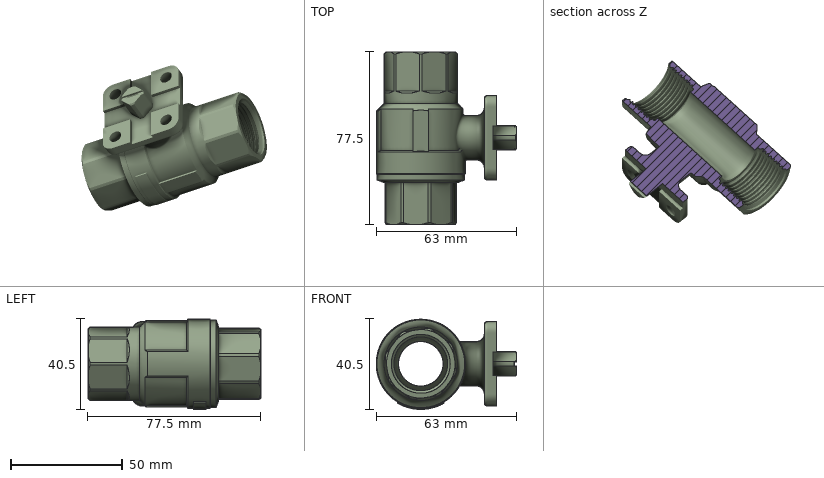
import cadquery as cq
import math


FRONT_END = -39.0
BACK_END = 38.5
CAP_CONE_START = -18.9
CAP_CONE_END = -20.1
CAP_JOINT = -16.4
RING_BACK = -6.3
NECK_SHOULDER = 15.4
BACK_FLATS_END = 21.0

BODY_R = 20.0
RING_EDGE_CHAMFER = 0.3
CAP_R = BODY_R - RING_EDGE_CHAMFER
CAP_CONE_R = 16.5
BORE_R = 10.0

OCTAGON_SIDES = 8
OCTAGON_STEP = 360.0 / OCTAGON_SIDES
FRONT_CORNER_R = 16.3
FRONT_FLAT_DISTANCE = 15.3
FRONT_CORNER_ANGLE = 76.0
BACK_CORNER_R = 16.5
BACK_FLAT_DISTANCE = 15.48
BACK_CORNER_ANGLE = 90.0
FLAT_RUNOUT_TAPER = -45.0
END_CHAMFER = 0.9

PANEL_R = 19.0
PANEL_WALL_RUN = 0.6
TOP_STRIP_HALF_WIDTH = 3.5
TOP_STRIP_HEIGHT = 19.5
SIDE_STRIP_HALF_WIDTH = 5.0
SIDE_STRIP_FLARE_ANGLE = 30.0

PAD_HEIGHT = 0.5
PAD_HALF_WIDTH = 10.5
PAD_LENGTH = 5.4
PAD_CENTER_Y = -11.6

THREAD_MINOR_R = 12.06
THREAD_MAJOR_R = 13.22
THREAD_PITCH = 1.814
THREAD_RINGS = 8
THREAD_FLAT = THREAD_PITCH / 6
THREAD_RELIEF = 1.0
THREAD_ENTRY = 0.9

NECK_R = 10.0
NECK_ROOT_R = 0.8
NECK_BLEND_R = 3.5
FLANGE_BACK = 28.5
FLANGE_FACE = 34.0
FLANGE_WIDTH = 38.0
FLANGE_CORNER_R = 5.0
FLANGE_EDGE_R = 1.5
FLANGE_HOLE_D = 5.8
FLANGE_BOLT_CIRCLE_D = 36.0
CHANNEL_DEPTH = 1.65
CHANNEL_WIDTH = 10.5

STEM_END = 43.0
STEM_SQUARE = 9.0
STEM_CORNER_R = 5.5
STEM_TIP_CHAMFER = 0.6
STEM_SLOT_WIDTH = 1.8
STEM_SLOT_DEPTH = 1.0


def revolve_about_flow_axis(points):
    """Revolve a closed (radius, y) outline about the Y axis."""
    return cq.Workplane("XY").polyline(points).close().revolve(360, (0, 0, 0), (0, 1, 0))


def cylinder_along_y(radius, y_start, y_end):
    profile = [(0, y_start), (radius, y_start), (radius, y_end), (0, y_end)]
    return revolve_about_flow_axis(profile)


def cylinder_along_x(radius, x_start, x_end):
    return cq.Workplane("YZ").workplane(offset=x_start).circle(radius).extrude(x_end - x_start)


def box_between(x_range, y_range, z_range):
    size = [end - start for start, end in (x_range, y_range, z_range)]
    corner = (x_range[0], y_range[0], z_range[0])
    return cq.Workplane("XY").box(*size, centered=False).translate(corner)


def octagon_prism(flat_distance, corner_angle, y_start, y_end, taper=0):
    """Octagonal prism along Y; the corner angle is measured from +X towards +Z."""
    corner_distance = flat_distance / math.cos(math.radians(OCTAGON_STEP / 2))
    angles = [math.radians(corner_angle + i * OCTAGON_STEP) for i in range(OCTAGON_SIDES)]
    corners = [(corner_distance * math.cos(a), corner_distance * math.sin(a)) for a in angles]
    section = cq.Workplane("XZ", origin=(0, y_start, 0)).polyline(corners).close()
    return section.extrude(y_start - y_end, taper=taper)


def front_octagon():
    blank = revolve_about_flow_axis([
        (0, FRONT_END),
        (FRONT_CORNER_R - END_CHAMFER, FRONT_END),
        (FRONT_CORNER_R, FRONT_END + END_CHAMFER),
        (FRONT_CORNER_R, CAP_JOINT),
        (0, CAP_JOINT),
    ])
    prism = octagon_prism(FRONT_FLAT_DISTANCE, FRONT_CORNER_ANGLE, FRONT_END, CAP_JOINT)
    return blank.intersect(prism)


def back_octagon():
    """Round neck whose outer length carries flats that run out on sloped facets."""
    blank = revolve_about_flow_axis([
        (0, RING_BACK),
        (BACK_CORNER_R, RING_BACK),
        (BACK_CORNER_R, BACK_END - END_CHAMFER),
        (BACK_CORNER_R - END_CHAMFER, BACK_END),
        (0, BACK_END),
    ])
    prism = octagon_prism(BACK_FLAT_DISTANCE, BACK_CORNER_ANGLE, RING_BACK, BACK_END)
    runout = octagon_prism(
        BACK_FLAT_DISTANCE, BACK_CORNER_ANGLE, BACK_FLATS_END, NECK_SHOULDER, FLAT_RUNOUT_TAPER
    )
    round_neck = cylinder_along_y(BACK_CORNER_R, RING_BACK, NECK_SHOULDER)
    return blank.intersect(prism.union(runout)).union(round_neck)


def center_body():
    shoulder_end = NECK_SHOULDER - (BODY_R - BACK_CORNER_R)
    return revolve_about_flow_axis([
        (0, CAP_CONE_END),
        (CAP_CONE_R, CAP_CONE_END),
        (CAP_R, CAP_CONE_START),
        (CAP_R, CAP_JOINT),
        (BODY_R, CAP_JOINT + RING_EDGE_CHAMFER),
        (BODY_R, shoulder_end),
        (BACK_CORNER_R, NECK_SHOULDER),
        (0, NECK_SHOULDER),
    ])


def panel_waste():
    """Material between the recessed panels and the full body radius."""
    lengthwise = (RING_BACK, NECK_SHOULDER)
    floor = revolve_about_flow_axis([
        (0, RING_BACK),
        (BODY_R, RING_BACK),
        (PANEL_R, RING_BACK + PANEL_WALL_RUN),
        (PANEL_R, NECK_SHOULDER),
        (0, NECK_SHOULDER),
    ])
    top_and_bottom_strips = box_between(
        (-TOP_STRIP_HALF_WIDTH, TOP_STRIP_HALF_WIDTH),
        lengthwise,
        (-TOP_STRIP_HEIGHT, TOP_STRIP_HEIGHT),
    )
    root_half_width = SIDE_STRIP_HALF_WIDTH + BODY_R * math.tan(math.radians(SIDE_STRIP_FLARE_ANGLE))
    side_strip = (
        cq.Workplane("XZ", origin=(0, RING_BACK, 0))
        .polyline([
            (-BODY_R, -SIDE_STRIP_HALF_WIDTH),
            (-BODY_R, SIDE_STRIP_HALF_WIDTH),
            (0, root_half_width),
            (0, -root_half_width),
        ])
        .close()
        .extrude(RING_BACK - NECK_SHOULDER)
    )
    shell = cylinder_along_y(BODY_R, *lengthwise).cut(floor)
    return shell.cut(top_and_bottom_strips).cut(side_strip)


def underside_pad():
    y_start = PAD_CENTER_Y - PAD_LENGTH / 2
    y_end = PAD_CENTER_Y + PAD_LENGTH / 2
    disc = cylinder_along_y(BODY_R + PAD_HEIGHT, y_start, y_end)
    sector = box_between((-PAD_HALF_WIDTH, PAD_HALF_WIDTH), (y_start, y_end), (-2 * BODY_R, 0))
    return disc.intersect(sector)


def neck():
    """Stem neck that flares into the flange with a quarter-round blend."""
    blend_start = FLANGE_BACK - NECK_BLEND_R
    arc_offset = NECK_BLEND_R * math.sqrt(0.5)
    profile = (
        cq.Workplane("XY")
        .moveTo(0, 0)
        .lineTo(0, NECK_R)
        .lineTo(blend_start, NECK_R)
        .threePointArc(
            (blend_start + arc_offset, NECK_R + NECK_BLEND_R - arc_offset),
            (FLANGE_BACK, NECK_R + NECK_BLEND_R),
        )
        .lineTo(FLANGE_FACE - CHANNEL_DEPTH, NECK_R + NECK_BLEND_R)
        .lineTo(FLANGE_FACE - CHANNEL_DEPTH, 0)
        .close()
    )
    return profile.revolve(360, (0, 0, 0), (1, 0, 0))


def neck_root_edges():
    """Selector for the seam where the neck leaves the body."""
    reach = NECK_R + NECK_ROOT_R / 2
    return cq.selectors.BoxSelector((NECK_R, -reach, -reach), (BODY_R, reach, reach))


def flange():
    thickness = FLANGE_FACE - FLANGE_BACK
    plate = (
        cq.Workplane("YZ", origin=(FLANGE_BACK, 0, 0))
        .rect(FLANGE_WIDTH, FLANGE_WIDTH)
        .extrude(thickness)
        .edges("|X")
        .fillet(FLANGE_CORNER_R)
        .faces("<X")
        .edges()
        .fillet(FLANGE_EDGE_R)
    )
    hole_spacing = FLANGE_BOLT_CIRCLE_D / math.sqrt(2)
    holes = (
        cq.Workplane("YZ", origin=(FLANGE_BACK, 0, 0))
        .rect(hole_spacing, hole_spacing, forConstruction=True)
        .vertices()
        .circle(FLANGE_HOLE_D / 2)
        .extrude(thickness)
    )
    channels = cq.Workplane("YZ", origin=(FLANGE_FACE - CHANNEL_DEPTH, 0, 0))
    along_y = channels.rect(FLANGE_WIDTH, CHANNEL_WIDTH).extrude(CHANNEL_DEPTH)
    along_z = channels.rect(CHANNEL_WIDTH, FLANGE_WIDTH).extrude(CHANNEL_DEPTH)
    return plate.cut(holes).cut(along_y).cut(along_z)


def stem():
    length = STEM_END - FLANGE_BACK
    rod = cylinder_along_x(STEM_CORNER_R, FLANGE_BACK, STEM_END)
    rod = rod.faces(">X").edges().chamfer(STEM_TIP_CHAMFER)
    square = (
        cq.Workplane("YZ", origin=(FLANGE_BACK, 0, 0))
        .transformed(rotate=(0, 0, 45))
        .rect(STEM_SQUARE, STEM_SQUARE)
        .extrude(length)
    )
    slot = box_between(
        (STEM_END - STEM_SLOT_DEPTH, STEM_END),
        (-STEM_CORNER_R, STEM_CORNER_R),
        (-STEM_SLOT_WIDTH / 2, STEM_SLOT_WIDTH / 2),
    )
    return rod.intersect(square).cut(slot)


def threaded_socket(end, inward):
    """Socket cut from one end; inward is +1 or -1 along Y."""
    points = [(0, end), (THREAD_MAJOR_R, end), (THREAD_MAJOR_R, end + inward * THREAD_ENTRY)]
    start = end + inward * (THREAD_ENTRY + THREAD_MAJOR_R - THREAD_MINOR_R)
    for ring in range(THREAD_RINGS):
        groove = start + inward * ring * THREAD_PITCH
        points.append((THREAD_MINOR_R, groove))
        root = groove + inward * THREAD_PITCH / 2
        points.append((THREAD_MAJOR_R, root - inward * THREAD_FLAT / 2))
        points.append((THREAD_MAJOR_R, root + inward * THREAD_FLAT / 2))
        points.append((THREAD_MINOR_R, groove + inward * (THREAD_PITCH - THREAD_FLAT)))
    bottom = start + inward * (THREAD_RINGS * THREAD_PITCH + THREAD_RELIEF)
    points.append((THREAD_MINOR_R, bottom))
    points.append((0, bottom))
    return revolve_about_flow_axis(points)


body = center_body().cut(panel_waste())
body = body.union(neck())
body = body.edges(neck_root_edges()).fillet(NECK_ROOT_R)
body = body.union(underside_pad()).union(front_octagon()).union(back_octagon())
body = body.union(flange()).union(stem())
body = body.cut(cylinder_along_y(BORE_R, FRONT_END, BACK_END))
body = body.cut(threaded_socket(FRONT_END, 1)).cut(threaded_socket(BACK_END, -1))

result = body